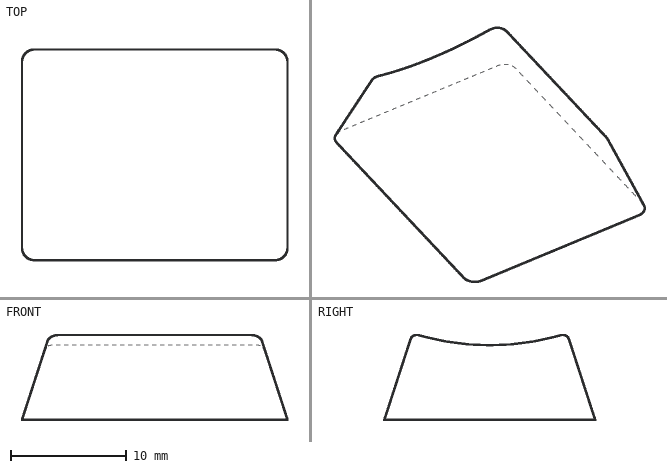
import cadquery as cq

base_length = 23.05
base_width = 18.3
wall_draft = 18.0
blank_height = 9.22

dish_radius = 21.9
dish_floor_height = 6.48

corner_radius = 1.2
rim_radius = 0.6


def drafted_block():
    """Rectangular block whose walls lean inward, with rounded corner edges."""
    block = (
        cq.Workplane("XY")
        .rect(base_length, base_width)
        .extrude(blank_height, taper=wall_draft)
    )
    slanted_edges = block.edges("not(#Z)")
    return slanted_edges.fillet(corner_radius)


def dish_cutter():
    """Cylinder along X that hollows the top of the block."""
    return (
        cq.Workplane("YZ")
        .center(0, dish_floor_height + dish_radius)
        .circle(dish_radius)
        .extrude(base_length / 2, both=True)
    )


dished_body = drafted_block().cut(dish_cutter())

result = dished_body.faces(">Z").edges().fillet(rim_radius)